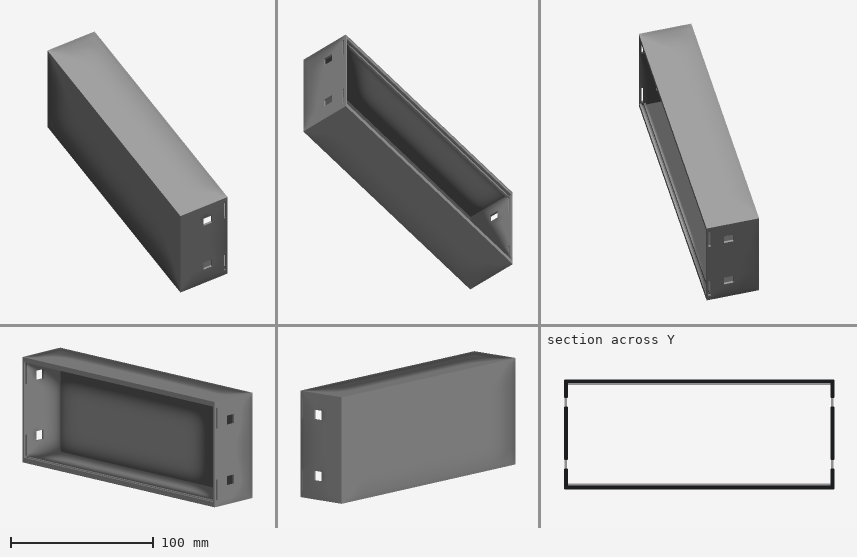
import cadquery as cq

LENGTH = 188.0
DEPTH = 38.0
HEIGHT = 76.0
WALL = 1.5

WINDOW_SIZE = 7.0
WINDOW_FROM_BACK = 16.0
UPPER_WINDOW_FROM_TOP = 15.5
LOWER_WINDOW_FROM_BOTTOM = 17.0

SLOT_WIDTH = 1.5
SLOT_HEIGHT = 15.2
SLOT_FROM_BACK = 2.3
SLOT_END_MARGIN = 4.5

RIB_TOP_FROM_OUTSIDE = 3.5

BACK_Y = DEPTH / 2
TOP_Z = HEIGHT / 2


def make_shell():
    """Five-sided box centred on the origin, open on its +Y side."""
    return cq.Workplane("XY").box(LENGTH, DEPTH, HEIGHT).faces(">Y").shell(-WALL)


def end_wall_cutter(width, height, from_back, center_z):
    """Rectangular bar running along X through both end walls."""
    bar = cq.Workplane("XY").box(2 * LENGTH, width, height)
    return bar.translate((0, BACK_Y - from_back, center_z))


def guide_rib(from_back, side):
    """Lengthwise rib on the floor (side -1) or ceiling (side +1), starting from_back inside the back rim."""
    rib = cq.Workplane("XY").box(LENGTH, WALL, RIB_TOP_FROM_OUTSIDE)
    return rib.translate((0, BACK_Y - from_back - WALL / 2, side * (TOP_Z - RIB_TOP_FROM_OUTSIDE / 2)))


result = make_shell()

inner_rib_from_back = SLOT_FROM_BACK + SLOT_WIDTH / 2
for rib_from_back in (0, inner_rib_from_back):
    for rib_side in (-1, 1):
        result = result.union(guide_rib(rib_from_back, rib_side))

for window_z in (TOP_Z - UPPER_WINDOW_FROM_TOP, LOWER_WINDOW_FROM_BOTTOM - TOP_Z):
    result = result.cut(end_wall_cutter(WINDOW_SIZE, WINDOW_SIZE, WINDOW_FROM_BACK, window_z))

slot_offset = TOP_Z - SLOT_END_MARGIN - SLOT_HEIGHT / 2
for slot_z in (slot_offset, -slot_offset):
    result = result.cut(end_wall_cutter(SLOT_WIDTH, SLOT_HEIGHT, SLOT_FROM_BACK, slot_z))